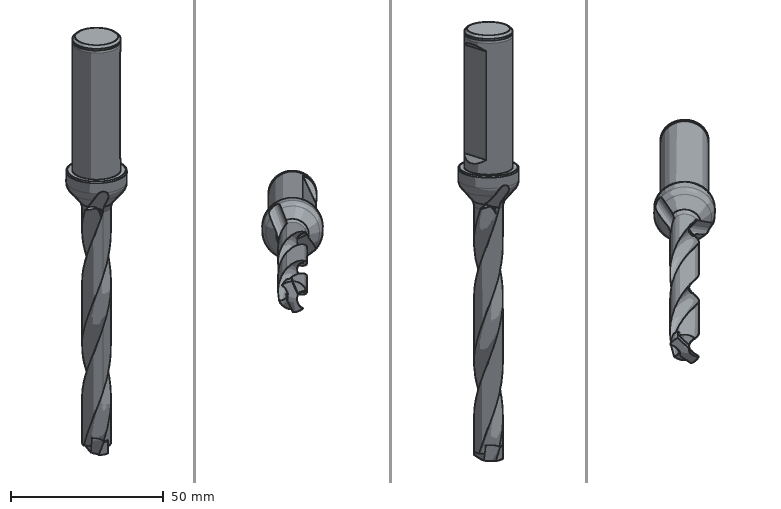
import cadquery as cq
import math

total_height = 149.0
collar_top = 101.3
collar_arc_top = 97.3
collar_arc_bottom = 94.3
neck_top = 90.1
flute_top = 88.2
body_rim_height = 3.7
pocket_top = 6.0
insert_corner_height = 1.5

shank_radius = 16.0 / 2
collar_radius = 20.0 / 2
collar_arc_end_radius = 8.8
arc_bulge = 0.2
neck_top_radius = 5.4
body_radius = 4.8
insert_radius = 5.2
shank_chamfer = 0.9
shank_groove_width = 1.5
shank_groove_depth = 0.1
collar_chamfer = 0.5

flat_distance = 6.1
flat_top = 145.5
flat_bottom = 104.5

flute_count = 2
flute_pitch = 82.5
flute_half_angle = 40.0
flute_cutter_radius = 3.3
crossing_height = 14.2

runout_radius = 2.7
runout_offset = 2.5
runout_length = 17.9
runout_start_x = 2.7
runout_start_height = 87.0

insert_thickness = 4.0
pocket_length = 11.9

tip_slope = insert_corner_height / insert_radius
body_tip_height = body_rim_height - body_radius * tip_slope


def turned_body():
    arc_mid_radius = collar_radius - arc_bulge * (collar_radius - collar_arc_end_radius)
    arc_mid_height = (collar_arc_top + collar_arc_bottom) / 2
    groove_top = total_height - shank_chamfer
    groove_bottom = groove_top - shank_groove_width
    groove_middle = (groove_top + groove_bottom) / 2
    outline = (
        cq.Workplane("XZ")
        .moveTo(0, body_tip_height)
        .lineTo(body_radius, body_rim_height)
        .lineTo(body_radius, flute_top)
        .lineTo(neck_top_radius, neck_top)
        .lineTo(collar_arc_end_radius, collar_arc_bottom)
        .threePointArc((arc_mid_radius, arc_mid_height), (collar_radius, collar_arc_top))
        .lineTo(collar_radius, collar_top - collar_chamfer)
        .lineTo(collar_radius - collar_chamfer, collar_top)
        .lineTo(shank_radius, collar_top)
        .lineTo(shank_radius, groove_bottom)
        .lineTo(shank_radius - shank_groove_depth, groove_middle)
        .lineTo(shank_radius, groove_top)
        .lineTo(shank_radius - shank_chamfer, total_height)
        .lineTo(0, total_height)
        .close()
    )
    return outline.revolve(360, (0, 0, 0), (0, 1, 0))


def clamping_flat():
    """Flat recess with 45 degree ramps at both ends, as wide as the shank."""
    ramp = shank_radius - flat_distance
    return (
        cq.Workplane("YZ")
        .polyline([
            (shank_radius, flat_bottom),
            (flat_distance, flat_bottom + ramp),
            (flat_distance, flat_top - ramp),
            (shank_radius, flat_top),
        ])
        .close()
        .extrude(shank_radius, both=True)
    )


def flute_cutter(index):
    """Twisted round cutter whose edges meet the body at the flute half angle."""
    half_angle = math.radians(flute_half_angle)
    edge_x = body_radius * math.cos(half_angle)
    edge_y = body_radius * math.sin(half_angle)
    centre_distance = edge_x + math.sqrt(flute_cutter_radius**2 - edge_y**2)
    start_angle = -360 * crossing_height / flute_pitch + index * 360 / flute_count
    return (
        cq.Workplane("XY")
        .transformed(rotate=(0, 0, start_angle))
        .moveTo(centre_distance, 0)
        .circle(flute_cutter_radius)
        .twistExtrude(flute_top, 360 * flute_top / flute_pitch)
    )


def runout_groove(index):
    """Round groove climbing outwards at 45 degrees along the neck cone."""
    groove = cq.Solid.makeCylinder(
        runout_radius,
        runout_length,
        cq.Vector(runout_start_x, -runout_offset, runout_start_height),
        cq.Vector(1, 0, 1),
    )
    return cq.Workplane(groove).rotate((0, 0, 0), (0, 0, 1), index * 360 / flute_count)


def insert_slab():
    """Bar across the tip that sets the insert thickness and clears its pocket."""
    return cq.Workplane("XY").box(
        pocket_length, insert_thickness, pocket_top, centered=(True, True, False)
    )


def insert_blank():
    pointed_round = (
        cq.Workplane("XZ")
        .polyline([
            (0, 0),
            (insert_radius, insert_corner_height),
            (insert_radius, pocket_top),
            (0, pocket_top),
        ])
        .close()
        .revolve(360, (0, 0, 0), (0, 1, 0))
    )
    return pointed_round.intersect(insert_slab())


holder = turned_body().cut(clamping_flat()).cut(insert_slab())

cutting_insert = insert_blank()

for flute in range(flute_count):
    cutter = flute_cutter(flute)
    holder = holder.cut(cutter).cut(runout_groove(flute))
    cutting_insert = cutting_insert.cut(cutter)

result = cq.Compound.makeCompound([holder.solids().val(), cutting_insert.solids().val()])